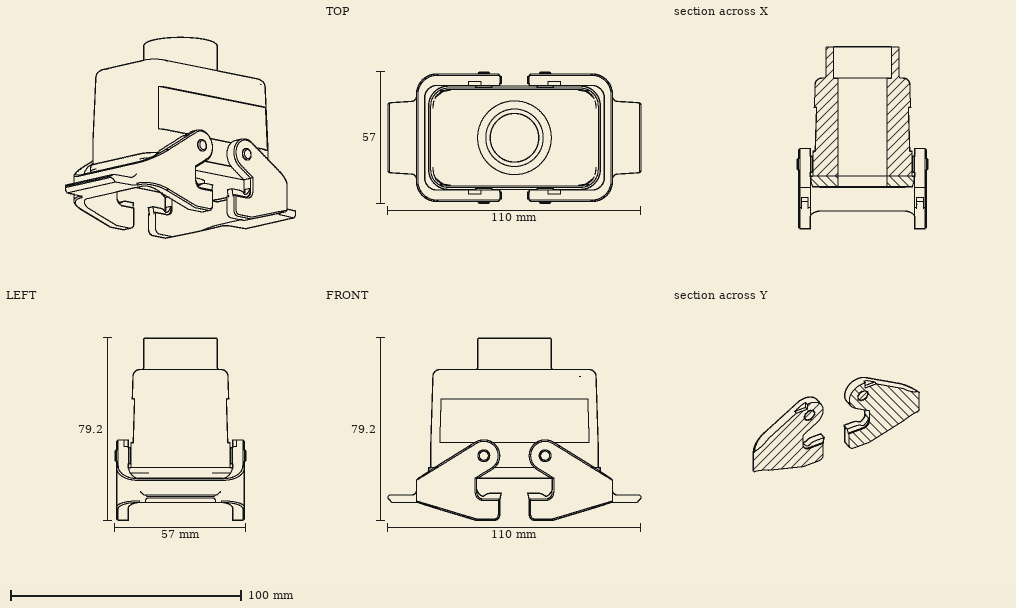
import cadquery as cq
import math


BODY_HALF_X = 36.35
BODY_HALF_Y = 21.6
BODY_CORNER_RADIUS = 7.7
SKIRT_TOP = 10.8
BODY_TOP = 42.6
DRAFT_ANGLE = 1.8
BODY_TOP_FILLET = 3.1
PANEL_DEPTH = 1.0
PANEL_TOP = 29.8
COLLAR_DIAMETER = 32.0
COLLAR_TOP = 56.2
COLLAR_FILLET = 0.8
ENTRY_DIAMETER = 25.0
ENTRY_DEPTH = 13.8
BORE_DIAMETER = 21.0

SEAL_LIP = 0.94
SEAL_RIM_HEIGHT = 2.3
SEAL_HEIGHT = 4.7
SEAL_TAPER_INSET = 0.8

PIVOT_X = 13.3
PIVOT_Z = 5.12
PIVOT_BOSS_DIAMETER = 7.0
PIVOT_BOSS_Y = 22.0
PIN_DIAMETER = 5.1
PIN_HOLE_DIAMETER = 5.2
PIN_ROOT_DEPTH = 1.1
PIN_END_Y = 28.5
PIN_CHAMFER = 0.5

ARM_INNER_Y = 22.7
ARM_OUTER_Y = 27.7
ARM_EYE_RADIUS = 6.9
ARM_TOP_ANGLE = 31.8
ARM_BOTTOM_ANGLE = 16.7
RIM_BEVEL = 0.7
CROSSBAR_OUTER_X = 42.6
CROSSBAR_INNER_X = 38.9
CROSSBAR_BOTTOM = -15.2
BEND_OUTER_RADIUS = 8.9
BEND_STEPS = 8
LEVER_BOTTOM = -23.0
HOOK_TIP_X = 6.4
HOOK_CORNER_RADIUS = 2.4
SLOT_WALL_X = 16.4
SLOT_FLOOR = -13.6
SLOT_CORNER_RADIUS = 2.9
LIP_INNER_Y = 23.5
LIP_OUTER_Y = 26.5
LIP_TOP = -11.1
LIP_CREST_X = 10.1
LIP_DIP = -12.4
LIP_DIP_X = 13.5
LIP_WALL_TOP = -9.4
LIP_OVERHANG = 0.7
LIP_ROOT_DEPTH = 0.5
NOTCH_INNER_X = 14.5
NOTCH_LENGTH = 5.6
NOTCH_WIDTH = 1.8
NOTCH_FLOOR = 9.1

GRIP_TIP_X = 55.0
GRIP_TOP = -11.9
GRIP_ROOT_HALF_Y = 15.8
GRIP_TIP_HALF_Y = 15.2
GRIP_TIP_CHAMFER = 0.8
GRIP_TIP_FACE = 0.5
GRIP_UNDERCUT = 1.8
GRIP_CORNER_RADIUS = 1.3
GRIP_ROOT_FILLET = 2.0

TOP_SLOPE = math.tan(math.radians(ARM_TOP_ANGLE))
BOTTOM_SLOPE = math.tan(math.radians(ARM_BOTTOM_ANGLE))
EYE_TANGENT_X = ARM_EYE_RADIUS * math.sin(math.radians(ARM_TOP_ANGLE))
EYE_TANGENT_Z = ARM_EYE_RADIUS * math.cos(math.radians(ARM_TOP_ANGLE))


def arm_top(x):
    """Height of the arm's sloping upper edge."""
    return PIVOT_Z + EYE_TANGENT_Z + (x + PIVOT_X + EYE_TANGENT_X) * TOP_SLOPE


def arm_bottom(x):
    """Height of the arm's sloping lower edge."""
    return CROSSBAR_BOTTOM - (x + CROSSBAR_OUTER_X) * BOTTOM_SLOPE


CROSSBAR_TOP = arm_top(-CROSSBAR_OUTER_X)
ARM_ROOT_X = CROSSBAR_OUTER_X - BEND_OUTER_RADIUS
BEND_INNER_RADIUS = CROSSBAR_INNER_X - ARM_ROOT_X
BEND_INNER_Y = ARM_INNER_Y - BEND_INNER_RADIUS
BEND_OUTER_Y = ARM_OUTER_Y - BEND_OUTER_RADIUS


def rounded_rectangle(half_x, half_y, radius):
    return cq.Sketch().rect(2 * half_x, 2 * half_y).vertices().fillet(radius)


def cylinder_y(diameter, x, z, y_start, y_end):
    plane = cq.Workplane("XZ", origin=(x, y_start, z))
    return plane.circle(diameter / 2).extrude(y_start - y_end)


def make_housing():
    skirt = cq.Workplane("XY").placeSketch(
        rounded_rectangle(BODY_HALF_X, BODY_HALF_Y, BODY_CORNER_RADIUS)
    ).extrude(SKIRT_TOP)
    draft_height = BODY_TOP - SKIRT_TOP
    draft_slope = math.tan(math.radians(DRAFT_ANGLE))
    inset = draft_height * draft_slope
    hood = cq.Workplane("XY", origin=(0, 0, SKIRT_TOP)).placeSketch(
        rounded_rectangle(BODY_HALF_X, BODY_HALF_Y, BODY_CORNER_RADIUS),
        rounded_rectangle(BODY_HALF_X - inset, BODY_HALF_Y - inset, BODY_CORNER_RADIUS).moved(
            cq.Location(cq.Vector(0, 0, draft_height))
        ),
    ).loft(ruled=True)
    hood = hood.faces(">Z").edges().fillet(BODY_TOP_FILLET)
    body = skirt.union(hood)

    panel_bottom_y = BODY_HALF_Y - PANEL_DEPTH
    panel_top_y = panel_bottom_y - (PANEL_TOP - SKIRT_TOP) * draft_slope
    panel_cutter = (
        cq.Workplane("YZ", origin=(-BODY_HALF_X, 0, 0))
        .polyline(
            [
                (panel_bottom_y, SKIRT_TOP),
                (BODY_HALF_Y, SKIRT_TOP),
                (BODY_HALF_Y, PANEL_TOP),
                (panel_top_y, PANEL_TOP),
            ]
        )
        .close()
        .extrude(2 * BODY_HALF_X)
    )
    body = body.cut(panel_cutter).cut(panel_cutter.mirror("XZ"))

    collar_radius = COLLAR_DIAMETER / 2
    collar = cq.Workplane("XY", origin=(0, 0, BODY_TOP)).circle(collar_radius).extrude(COLLAR_TOP - BODY_TOP)
    collar = collar.faces(">Z").edges().fillet(COLLAR_FILLET)
    body = body.union(collar)
    body = body.edges(cq.NearestToPointSelector((0, 0, BODY_TOP))).fillet(COLLAR_FILLET)

    body = body.cut(cq.Workplane("XY").circle(BORE_DIAMETER / 2).extrude(COLLAR_TOP))
    entry = cq.Workplane("XY", origin=(0, 0, COLLAR_TOP)).circle(ENTRY_DIAMETER / 2).extrude(-ENTRY_DEPTH)
    body = body.cut(entry)

    pin_root_y = BODY_HALF_Y - PIN_ROOT_DEPTH
    for x in (-PIVOT_X, PIVOT_X):
        for side in (-1, 1):
            boss = cylinder_y(PIVOT_BOSS_DIAMETER, x, PIVOT_Z, side * pin_root_y, side * PIVOT_BOSS_Y)
            pin = cylinder_y(PIN_DIAMETER, x, PIVOT_Z, side * pin_root_y, side * PIN_END_Y)
            pin = pin.faces(">Y" if side > 0 else "<Y").edges().chamfer(PIN_CHAMFER)
            body = body.union(boss).union(pin)
    return body


def make_seal():
    """Flat seal under the housing: an upright rim above a tapered foot."""
    half_x = BODY_HALF_X + SEAL_LIP
    half_y = BODY_HALF_Y + SEAL_LIP
    corner_radius = BODY_CORNER_RADIUS + SEAL_LIP
    outline = rounded_rectangle(half_x, half_y, corner_radius)
    rim = cq.Workplane("XY").placeSketch(outline).extrude(-SEAL_RIM_HEIGHT)
    foot_outline = rounded_rectangle(
        half_x - SEAL_TAPER_INSET, half_y - SEAL_TAPER_INSET, corner_radius - SEAL_TAPER_INSET
    )
    foot = cq.Workplane("XY", origin=(0, 0, -SEAL_RIM_HEIGHT)).placeSketch(
        outline, foot_outline.moved(cq.Location(cq.Vector(0, 0, SEAL_RIM_HEIGHT - SEAL_HEIGHT)))
    ).loft(ruled=True)
    bore = cq.Workplane("XY").circle(BORE_DIAMETER / 2).extrude(-SEAL_HEIGHT)
    return rim.union(foot).cut(bore)


def make_arm():
    """Arm on the +Y side: eye, neck and catch hook."""
    neck_low_x = -PIVOT_X + EYE_TANGENT_X
    neck_low_z = PIVOT_Z - EYE_TANGENT_Z
    slot_top = neck_low_z - (SLOT_WALL_X + neck_low_x) * TOP_SLOPE
    heel_x = -CROSSBAR_OUTER_X + (CROSSBAR_BOTTOM - LEVER_BOTTOM) / BOTTOM_SLOPE
    return (
        cq.Workplane("XZ", origin=(0, ARM_OUTER_Y, 0))
        .moveTo(-ARM_ROOT_X, arm_top(-ARM_ROOT_X))
        .lineTo(-PIVOT_X - EYE_TANGENT_X, PIVOT_Z + EYE_TANGENT_Z)
        .threePointArc(
            (-PIVOT_X + EYE_TANGENT_Z, PIVOT_Z + EYE_TANGENT_X),
            (neck_low_x, neck_low_z),
        )
        .lineTo(-SLOT_WALL_X, slot_top)
        .lineTo(-SLOT_WALL_X, SLOT_FLOOR + SLOT_CORNER_RADIUS)
        .tangentArcPoint((SLOT_CORNER_RADIUS, -SLOT_CORNER_RADIUS))
        .lineTo(-HOOK_TIP_X, SLOT_FLOOR)
        .lineTo(-HOOK_TIP_X, LEVER_BOTTOM + HOOK_CORNER_RADIUS)
        .tangentArcPoint((-HOOK_CORNER_RADIUS, -HOOK_CORNER_RADIUS))
        .lineTo(heel_x, LEVER_BOTTOM)
        .lineTo(-ARM_ROOT_X, arm_bottom(-ARM_ROOT_X))
        .close()
        .extrude(ARM_OUTER_Y - ARM_INNER_Y)
    )


def make_catch_lip():
    """Lip on the +Y arm's slot floor, dipping beside the slot wall."""
    lip_root = SLOT_FLOOR - LIP_ROOT_DEPTH
    return (
        cq.Workplane("XZ", origin=(0, LIP_OUTER_Y, 0))
        .moveTo(-SLOT_WALL_X, lip_root)
        .lineTo(-SLOT_WALL_X, LIP_WALL_TOP)
        .spline(
            [(-LIP_DIP_X, LIP_DIP), (-LIP_CREST_X, LIP_TOP)],
            tangents=[(0.3, -1), (1, 0)],
            includeCurrent=True,
        )
        .lineTo(-HOOK_TIP_X + LIP_OVERHANG, LIP_TOP)
        .lineTo(-HOOK_TIP_X, lip_root)
        .close()
        .extrude(LIP_OUTER_Y - LIP_INNER_Y)
    )


def bend_edge(radius, center_y, root_z, bar_z):
    """Quarter-bend edge that leaves the arm at root_z and levels out at bar_z on the crossbar."""
    points = []
    for i in range(BEND_STEPS + 1):
        angle = math.pi / 2 * i / BEND_STEPS
        points.append(
            cq.Vector(
                -ARM_ROOT_X - radius * math.sin(angle),
                center_y + radius * math.cos(angle),
                root_z + (bar_z - root_z) * math.sin(angle),
            )
        )
    root_tangent = cq.Vector(-radius, 0, bar_z - root_z)
    bar_tangent = cq.Vector(0, -1, 0)
    return cq.Edge.makeSpline(points, tangents=[root_tangent, bar_tangent])


def make_bend():
    """Bend between crossbar and +Y arm; its top and bottom stay level across the bar's width."""
    ends = (arm_top(-ARM_ROOT_X), CROSSBAR_TOP), (arm_bottom(-ARM_ROOT_X), CROSSBAR_BOTTOM)
    bends = (BEND_OUTER_RADIUS, BEND_OUTER_Y), (BEND_INNER_RADIUS, BEND_INNER_Y)
    (outer_top, inner_top), (outer_bottom, inner_bottom) = [
        [bend_edge(radius, center_y, root_z, bar_z) for radius, center_y in bends] for root_z, bar_z in ends
    ]
    loop = [outer_top, inner_top, inner_bottom, outer_bottom]
    faces = [cq.Face.makeRuledSurface(loop[i - 1], loop[i]) for i in range(len(loop))]
    for end in (0, 1):
        corners = [edge.positionAt(end) for edge in loop]
        faces.append(cq.Face.makeFromWires(cq.Wire.makePolygon(corners, close=True)))
    return cq.Workplane(cq.Solid.makeSolid(cq.Shell.makeShell(faces)).fix())


def make_crossbar():
    outline = [
        (-CROSSBAR_OUTER_X, -BEND_OUTER_Y),
        (-CROSSBAR_OUTER_X, BEND_OUTER_Y),
        (-CROSSBAR_INNER_X, BEND_INNER_Y),
        (-CROSSBAR_INNER_X, -BEND_INNER_Y),
    ]
    plane = cq.Workplane("XY", origin=(0, 0, CROSSBAR_BOTTOM))
    return plane.polyline(outline).close().extrude(CROSSBAR_TOP - CROSSBAR_BOTTOM)


def make_grip():
    """Finger grip with an undercut tip; its top and sides flare into the crossbar."""
    tip_face_top = GRIP_TOP - GRIP_TIP_CHAMFER
    tip_face_bottom = tip_face_top - GRIP_TIP_FACE
    flare_half_y = GRIP_ROOT_HALF_Y + GRIP_ROOT_FILLET
    flare_x = -CROSSBAR_OUTER_X - GRIP_ROOT_FILLET
    root_x = -CROSSBAR_INNER_X - RIM_BEVEL
    profile = (
        cq.Workplane("XZ", origin=(0, flare_half_y, 0))
        .moveTo(root_x, CROSSBAR_BOTTOM)
        .lineTo(-GRIP_TIP_X + GRIP_UNDERCUT, CROSSBAR_BOTTOM)
        .lineTo(-GRIP_TIP_X, tip_face_bottom)
        .lineTo(-GRIP_TIP_X, tip_face_top)
        .lineTo(-GRIP_TIP_X + GRIP_TIP_CHAMFER, GRIP_TOP)
        .lineTo(flare_x, GRIP_TOP)
        .tangentArcPoint((GRIP_ROOT_FILLET, GRIP_ROOT_FILLET))
        .lineTo(root_x, GRIP_TOP + GRIP_ROOT_FILLET)
        .close()
        .extrude(2 * flare_half_y)
    )
    half_plan = (
        cq.Workplane("XY", origin=(0, 0, CROSSBAR_BOTTOM))
        .moveTo(root_x, 0)
        .lineTo(-GRIP_TIP_X, 0)
        .lineTo(-GRIP_TIP_X, GRIP_TIP_HALF_Y)
        .lineTo(flare_x, GRIP_ROOT_HALF_Y)
        .tangentArcPoint((GRIP_ROOT_FILLET, GRIP_ROOT_FILLET))
        .lineTo(root_x, flare_half_y)
        .close()
        .extrude(GRIP_TOP + GRIP_ROOT_FILLET - CROSSBAR_BOTTOM)
    )
    plan = half_plan.union(half_plan.mirror("XZ"))
    plan = plan.edges("|Z and <X").fillet(GRIP_CORNER_RADIUS)
    return profile.intersect(plan)


def make_notch_cutter():
    """Step in the inner half of the +Y arm's upper edge, beside the eye."""
    return (
        cq.Workplane("XY", origin=(-NOTCH_INNER_X, ARM_INNER_Y, NOTCH_FLOOR))
        .rect(-NOTCH_LENGTH, NOTCH_WIDTH, centered=False)
        .extrude(PIVOT_Z + ARM_EYE_RADIUS - NOTCH_FLOOR)
    )


def bevel_rim(lever):
    """Bevel the outer edges of both arms, both bends and the crossbar."""
    mid_angle = math.radians(45)
    bend_x = -ARM_ROOT_X - BEND_OUTER_RADIUS * math.sin(mid_angle)
    bend_y = BEND_OUTER_Y + BEND_OUTER_RADIUS * math.cos(mid_angle)
    arm_root_middle = (arm_top(-ARM_ROOT_X) + arm_bottom(-ARM_ROOT_X)) / 2
    rim = lever.faces("<X").edges("|Y")
    for side in (-1, 1):
        for z in (arm_top(bend_x), arm_bottom(bend_x)):
            rim = rim.add(lever.edges(cq.NearestToPointSelector((bend_x, side * bend_y, z))))
        arm_face = lever.faces(">Y" if side > 0 else "<Y")
        bend_line = cq.NearestToPointSelector((-ARM_ROOT_X, side * ARM_OUTER_Y, arm_root_middle))
        rim = rim.add(arm_face.edges(cq.selectors.InverseSelector(bend_line)))
    return lever.newObject(rim.vals()).chamfer(RIM_BEVEL)


def make_lever():
    """Lever at the -X end."""
    arm = make_arm()
    bend = make_bend()
    lever = make_crossbar()
    for part in (bend, arm):
        lever = lever.union(part).union(part.mirror("XZ"))
    lever = bevel_rim(lever).union(make_grip())

    boss = cylinder_y(PIVOT_BOSS_DIAMETER, -PIVOT_X, PIVOT_Z, PIVOT_BOSS_Y, ARM_OUTER_Y - RIM_BEVEL)
    hole = cylinder_y(PIN_HOLE_DIAMETER, -PIVOT_X, PIVOT_Z, PIVOT_BOSS_Y, ARM_OUTER_Y)
    for part in (make_catch_lip(), boss):
        lever = lever.union(part).union(part.mirror("XZ"))
    for part in (make_notch_cutter(), hole):
        lever = lever.cut(part).cut(part.mirror("XZ"))
    return lever


housing = make_housing()
seal = make_seal()
lever = make_lever()
opposite_lever = lever.mirror("YZ")
result = cq.Compound.makeCompound(
    [*housing.solids().vals(), *seal.solids().vals(), *lever.solids().vals(), *opposite_lever.solids().vals()]
)